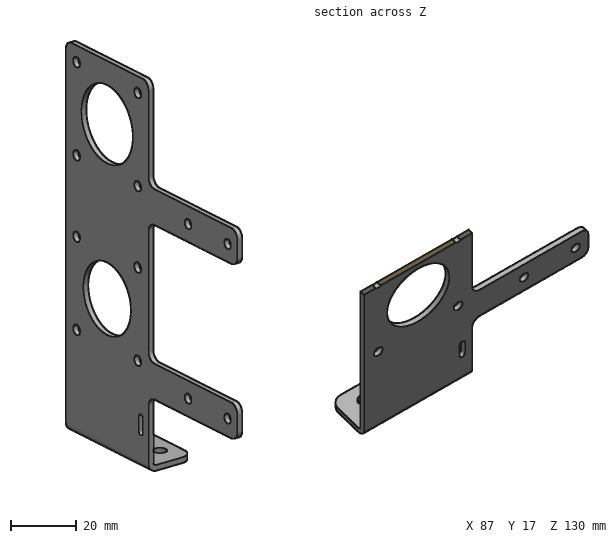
import cadquery as cq

thickness = 2.0
bend_inner_radius = 1.0
bend_outer_radius = bend_inner_radius + thickness
plate_width = 42.0
plate_height = 130.0
plate_corner_radius = 3.0
flange_depth = 17.0
flange_corner_radius = 4.0

motor_x = plate_width / 2
upper_motor_z = 109.0
motor_pitch = 58.0
lower_motor_z = upper_motor_z - motor_pitch
motor_screw_spacing = 31.0
motor_screw_diameter = 3.4
upper_opening_diameter = 26.0
lower_opening_diameter = 24.0

arm_end_x = 87.0
arm_width = 12.0
arm_drop = 19.6
arm_corner_radius = 3.0
arm_root_radius = 3.0
arm_hole_spacing = 20.0
arm_hole_end_margin = 5.0
arm_hole_diameter = 3.2

slot_x = 38.1
slot_z = 14.7
slot_length = 6.9
slot_width = 2.1

flange_hole_spacing = 25.0
flange_hole_back_margin = 6.1
flange_hole_diameter = 4.3

motor_openings = (
    (upper_motor_z, upper_opening_diameter),
    (lower_motor_z, lower_opening_diameter),
)


def plate_cutter(points, diameter):
    """Cylinders through the plate thickness at the given (X, Z) points."""
    return (
        cq.Workplane("XZ")
        .pushPoints(points)
        .circle(diameter / 2)
        .extrude(-thickness)
    )


def make_bent_sheet():
    """L-shaped sheet with a rounded bend, extruded across the plate width."""
    sheet = (
        cq.Workplane("YZ")
        .polyline([
            (0, 0),
            (flange_depth, 0),
            (flange_depth, thickness),
            (thickness, thickness),
            (thickness, plate_height),
            (0, plate_height),
        ])
        .close()
        .extrude(plate_width)
    )
    inner_corner = cq.selectors.NearestToPointSelector((motor_x, thickness, thickness))
    sheet = sheet.edges(inner_corner).fillet(bend_inner_radius)
    sheet = sheet.edges("|X and <Y and <Z").fillet(bend_outer_radius)
    sheet = sheet.faces(">Z").edges("|Y").fillet(plate_corner_radius)
    return sheet.faces(">Y").edges("|Z").fillet(flange_corner_radius)


def make_arm(center_z):
    """Side arm with rounded free corners and concave fillets where it meets the plate."""
    top = center_z + arm_width / 2
    bottom = center_z - arm_width / 2
    root_x = plate_width + arm_root_radius
    overlap_x = plate_width - arm_root_radius
    arm = (
        cq.Workplane("XZ")
        .moveTo(overlap_x, top + arm_root_radius)
        .lineTo(plate_width, top + arm_root_radius)
        .radiusArc((root_x, top), -arm_root_radius)
        .lineTo(arm_end_x, top)
        .lineTo(arm_end_x, bottom)
        .lineTo(root_x, bottom)
        .radiusArc((plate_width, bottom - arm_root_radius), -arm_root_radius)
        .lineTo(overlap_x, bottom - arm_root_radius)
        .close()
        .extrude(-thickness)
    )
    return arm.faces(">X").edges("|Y").fillet(arm_corner_radius)


def cut_motor_mount(body, center_z, opening_diameter):
    """Central opening and four screw holes of one motor."""
    half_spacing = motor_screw_spacing / 2
    screw_points = [
        (motor_x + side * half_spacing, center_z + level * half_spacing)
        for side in (-1, 1)
        for level in (-1, 1)
    ]
    body = body.cut(plate_cutter([(motor_x, center_z)], opening_diameter))
    return body.cut(plate_cutter(screw_points, motor_screw_diameter))


def cut_arm_holes(body, center_z):
    """Two holes along the middle of one arm."""
    outer_x = arm_end_x - arm_hole_end_margin
    points = [(outer_x - arm_hole_spacing, center_z), (outer_x, center_z)]
    return body.cut(plate_cutter(points, arm_hole_diameter))


def cut_slot(body):
    """Upright round-ended slot through the plate."""
    slot = (
        cq.Workplane("XZ")
        .center(slot_x, slot_z)
        .slot2D(slot_length, slot_width, 90)
        .extrude(-thickness)
    )
    return body.cut(slot)


def cut_flange_holes(body):
    """Pair of holes down through the foot flange, centred on the plate width."""
    hole_y = flange_depth - flange_hole_back_margin
    points = [(motor_x + side * flange_hole_spacing / 2, hole_y) for side in (-1, 1)]
    holes = (
        cq.Workplane("XY")
        .pushPoints(points)
        .circle(flange_hole_diameter / 2)
        .extrude(thickness)
    )
    return body.cut(holes)


bracket = make_bent_sheet()
for motor_z, opening in motor_openings:
    arm_z = motor_z - arm_drop
    bracket = bracket.union(make_arm(arm_z))
    bracket = cut_motor_mount(bracket, motor_z, opening)
    bracket = cut_arm_holes(bracket, arm_z)
bracket = cut_slot(bracket)
result = cut_flange_holes(bracket)